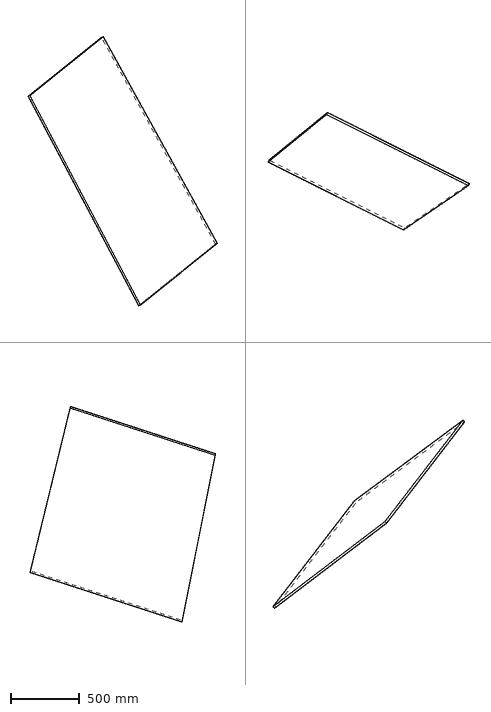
import cadquery as cq
import math

overall_width = 932.0
overall_height = 1492.0
low_end_depth = 1167.0
high_end_depth = 1113.0
thickness = 18.0

SLOPE_PASSES = 10
slope = math.atan2(overall_height, overall_width)
for _ in range(SLOPE_PASSES):
    face_run = overall_width - thickness * math.sin(slope)
    face_rise = overall_height - thickness * math.cos(slope)
    slope = math.atan2(face_rise, face_run)
end_width = thickness * math.sin(slope)
end_height = thickness * math.cos(slope)

panel = (
    cq.Workplane("XZ")
    .polyline([
        (0, overall_height - end_height),
        (end_width, overall_height),
        (overall_width, end_height),
        (overall_width - end_width, 0),
    ])
    .close()
    .extrude(-low_end_depth)
)

plan = (
    cq.Workplane("XY")
    .polyline([(0, 0), (overall_width, 0), (overall_width, low_end_depth), (0, high_end_depth)])
    .close()
    .extrude(overall_height)
)

result = panel.intersect(plan)